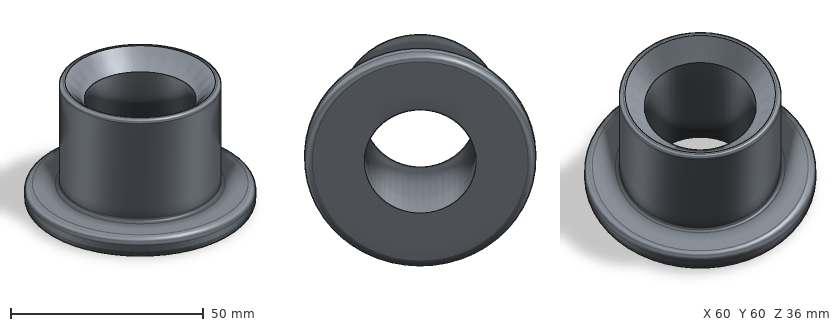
import cadquery as cq

flange_diameter = 60.0
flange_thickness = 6.0
flange_edge_radius = flange_thickness / 3
total_height = 36.0
barrel_diameter = 42.0
barrel_edge_radius = 1.0
bore_diameter = 29.0
mouth_diameter = 39.0

mouth_depth = (mouth_diameter - bore_diameter) / 2


def make_flange():
    """Round flange with both outer edges rounded."""
    flange = cq.Workplane("XY").circle(flange_diameter / 2).extrude(flange_thickness)
    return flange.edges("%CIRCLE").fillet(flange_edge_radius)


def make_barrel():
    """Plain cylinder standing on the base plane, with a rounded top edge."""
    barrel = cq.Workplane("XY").circle(barrel_diameter / 2).extrude(total_height)
    return barrel.faces(">Z").edges().fillet(barrel_edge_radius)


def blend_barrel_to_flange(body):
    """Round the inside corner where the barrel meets the flange."""
    reach = barrel_diameter / 2 + barrel_edge_radius
    corner_box = cq.selectors.BoxSelector(
        (-reach, -reach, flange_thickness - barrel_edge_radius),
        (reach, reach, flange_thickness + barrel_edge_radius),
        boundingbox=True,
    )
    return body.edges(corner_box).fillet(barrel_edge_radius)


def cut_bore(body):
    """Through bore with a 45 degree conical mouth at the top."""
    bored = body.faces(">Z").workplane().hole(bore_diameter)
    bore_rim = bored.faces(">Z").edges(cq.selectors.RadiusNthSelector(0))
    return bore_rim.chamfer(mouth_depth)


body = make_flange().union(make_barrel())
body = blend_barrel_to_flange(body)
result = cut_bore(body)